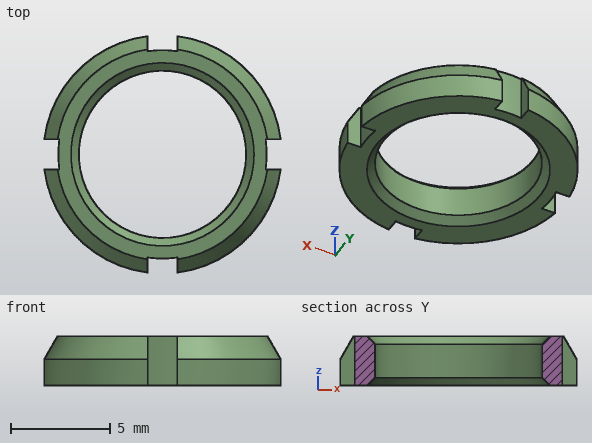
import cadquery as cq
import math

span = 11.91
height = 2.5
slot_width = 1.5
slot_count = 4
slot_floor_radius = 5.25
top_radius = 5.34
rim_height = 1.33
bore_radius = 4.2
bore_chamfer = 0.4

outer_radius = math.hypot(span / 2, slot_width / 2)
bore_mouth_radius = bore_radius + bore_chamfer


def make_ring():
    """Revolve the nut section, with a conical top edge and a chamfered bore."""
    section = [
        (bore_mouth_radius, 0),
        (outer_radius, 0),
        (outer_radius, rim_height),
        (top_radius, height),
        (bore_mouth_radius, height),
        (bore_radius, height - bore_chamfer),
        (bore_radius, bore_chamfer),
    ]
    return cq.Workplane("XZ").polyline(section).close().revolve(360, (0, 0), (0, 1))


def make_slot_cutter():
    """Full-height slot along +X with a floor concentric with the bore."""
    bar = cq.Workplane("XY").box(span, slot_width, height, centered=(False, True, False))
    core = cq.Workplane("XY").circle(slot_floor_radius).extrude(height)
    return bar.cut(core)


result = make_ring()
slot_cutter = make_slot_cutter()
for index in range(slot_count):
    angle = index * 360 / slot_count
    result = result.cut(slot_cutter.rotate((0, 0, 0), (0, 0, 1), angle))